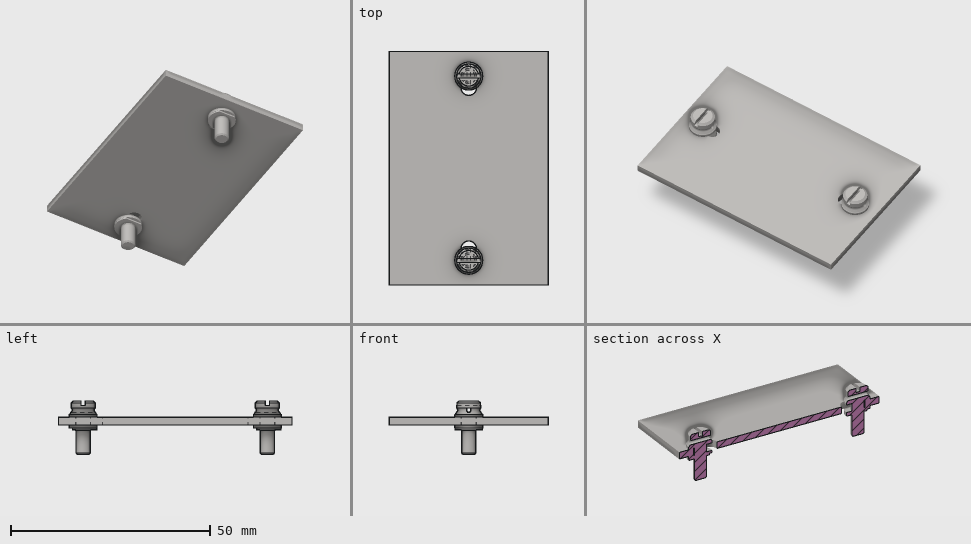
import cadquery as cq

PLATE_WIDTH = 40.0
PLATE_LENGTH = 58.7
PLATE_THICKNESS = 2.0

SCREW_OFFSET = 23.1
CLEARANCE_RADIUS = 1.95
CLEARANCE_SHIFT = 2.9

HEAD_RADIUS = 3.05
HEAD_TOP_RADIUS = 2.45
HEAD_TOP = 4.1
HEAD_CHAMFER_HEIGHT = 0.5
HEAD_BOTTOM = 2.3
NECK_BOTTOM = 1.25
NECK_GROOVE_DEPTH = 0.25

COLLAR_RADIUS = 3.5
COLLAR_RIM_RADIUS = 3.35
COLLAR_RIM_HEIGHT = 0.8
COLLAR_EDGE_HEIGHT = 0.65

DRIVER_SLOT_WIDTH = 1.0
DRIVER_SLOT_DEPTH = 1.2
CROSS_HOLE_WIDTH = 1.0

LOWER_COLLAR_HEIGHT = 0.75
WASHER_RADIUS = 3.45
WASHER_THICKNESS = 0.4
WASHER_FLAT_DISTANCE = 2.7
SHANK_RADIUS = 1.8
SHANK_LENGTH = 7.4
SHANK_SHOULDER_RADIUS = 1.9
SHANK_SHOULDER_HEIGHT = 0.2
SHANK_TIP_RADIUS = 1.45
SHANK_TIP_CHAMFER = SHANK_RADIUS - SHANK_TIP_RADIUS


def make_plate():
    """Rectangular plate with an elongated clearance hole at each screw."""
    plate = cq.Workplane("XY").box(
        PLATE_WIDTH, PLATE_LENGTH, PLATE_THICKNESS, centered=(True, True, False)
    )
    for side in (-1, 1):
        slot = (
            cq.Workplane("XY")
            .center(0, side * (SCREW_OFFSET - CLEARANCE_SHIFT / 2))
            .slot2D(CLEARANCE_SHIFT + 2 * CLEARANCE_RADIUS, 2 * CLEARANCE_RADIUS, 90)
            .extrude(PLATE_THICKNESS)
        )
        plate = plate.cut(slot)
    return plate


def make_screw_body():
    """Revolved head, grooved neck, collars and shank about the Z axis."""
    top = PLATE_THICKNESS
    washer_bottom = -LOWER_COLLAR_HEIGHT - WASHER_THICKNESS
    groove_middle = (HEAD_RADIUS - NECK_GROOVE_DEPTH, top + (HEAD_BOTTOM + NECK_BOTTOM) / 2)
    profile = (
        cq.Workplane("XZ")
        .moveTo(0, top + HEAD_TOP)
        .lineTo(HEAD_TOP_RADIUS, top + HEAD_TOP)
        .lineTo(HEAD_RADIUS, top + HEAD_TOP - HEAD_CHAMFER_HEIGHT)
        .lineTo(HEAD_RADIUS, top + HEAD_BOTTOM)
        .threePointArc(groove_middle, (HEAD_RADIUS, top + NECK_BOTTOM))
        .lineTo(COLLAR_RIM_RADIUS, top + COLLAR_RIM_HEIGHT)
        .lineTo(COLLAR_RADIUS, top + COLLAR_EDGE_HEIGHT)
        .lineTo(COLLAR_RADIUS, top)
        .lineTo(SHANK_RADIUS, top)
        .lineTo(SHANK_RADIUS, 0)
        .lineTo(COLLAR_RADIUS, 0)
        .lineTo(COLLAR_RADIUS, -LOWER_COLLAR_HEIGHT)
        .lineTo(WASHER_RADIUS, -LOWER_COLLAR_HEIGHT)
        .lineTo(WASHER_RADIUS, washer_bottom)
        .lineTo(SHANK_SHOULDER_RADIUS, washer_bottom)
        .lineTo(SHANK_SHOULDER_RADIUS, washer_bottom - SHANK_SHOULDER_HEIGHT)
        .lineTo(SHANK_RADIUS, washer_bottom - SHANK_SHOULDER_HEIGHT)
        .lineTo(SHANK_RADIUS, SHANK_TIP_CHAMFER - SHANK_LENGTH)
        .lineTo(SHANK_TIP_RADIUS, -SHANK_LENGTH)
        .lineTo(0, -SHANK_LENGTH)
        .close()
    )
    return profile.revolve(360, (0, 0, 0), (0, 1, 0))


def make_washer_flat():
    """Cutter that removes the +Y side of the retaining washer."""
    flat_y = WASHER_FLAT_DISTANCE + COLLAR_RADIUS / 2
    return (
        cq.Workplane("XY", origin=(0, flat_y, -LOWER_COLLAR_HEIGHT))
        .rect(2 * COLLAR_RADIUS, COLLAR_RADIUS)
        .extrude(-WASHER_THICKNESS)
    )


def make_driver_slot():
    """Cutter for the straight slot across the top of the head, along X."""
    return (
        cq.Workplane("XY", origin=(0, 0, PLATE_THICKNESS + HEAD_TOP))
        .rect(2 * COLLAR_RADIUS, DRIVER_SLOT_WIDTH)
        .extrude(-DRIVER_SLOT_DEPTH)
    )


def make_cross_hole():
    """Passage through the neck along Y, flat under the head and round at the bottom."""
    hole_top = PLATE_THICKNESS + HEAD_BOTTOM
    hole_bottom = PLATE_THICKNESS + NECK_BOTTOM
    half_width = CROSS_HOLE_WIDTH / 2
    return (
        cq.Workplane("XZ")
        .moveTo(-half_width, hole_top)
        .lineTo(half_width, hole_top)
        .lineTo(half_width, hole_bottom + half_width)
        .threePointArc((0, hole_bottom), (-half_width, hole_bottom + half_width))
        .close()
        .extrude(COLLAR_RADIUS, both=True)
    )


def make_screw():
    """Complete slotted screw with cross hole and retaining washer."""
    screw = make_screw_body().cut(make_washer_flat()).cut(make_driver_slot())
    return screw.cut(make_cross_hole())


result = make_plate()
for side in (-1, 1):
    result = result.union(make_screw().translate((0, side * SCREW_OFFSET, 0)))